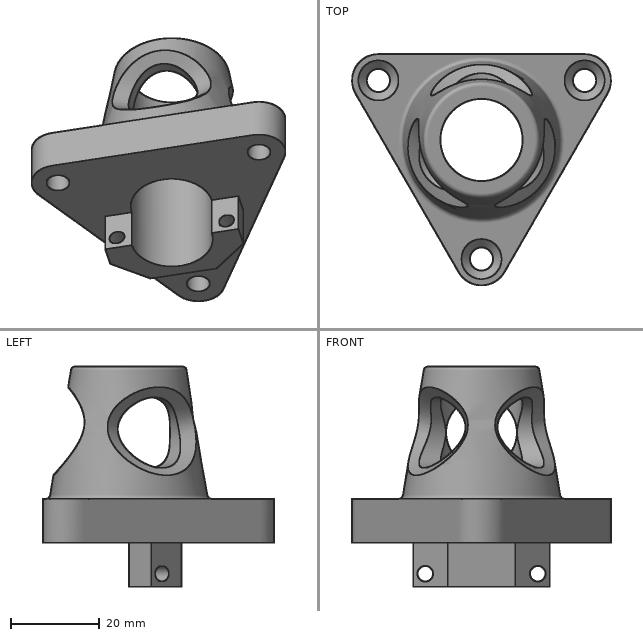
import cadquery as cq
import math

plate_thickness = 10.0
corner_radius = 6.0
screw_circle_radius = 27.0
screw_hole_diameter = 5.2
countersink_diameter = 9.1
countersink_angle = 90.0
screw_angles = (30.0, 150.0, 270.0)

tower_height = 30.0
tower_base_radius = 18.0
tower_top_radius = 13.0
tower_edge_radius = 1.0
bore_diameter = 18.6

window_diameter = 16.0
window_chamfer = 2.0
window_angles = (90.0, 210.0, 330.0)
rim_points = 48

tenon_height = 10.0
tenon_width = 31.0
tenon_depth = 12.0
tenon_front_width = 15.4
tenon_side_depth = 5.1
pin_hole_diameter = 3.5
pin_hole_spacing = 25.5
pin_hole_height = 3.0

plate_bottom = tenon_height
plate_top = plate_bottom + plate_thickness
tower_top = plate_top + tower_height
window_height = plate_top + tower_height / 2
window_radius = window_diameter / 2
tower_slope = (tower_base_radius - tower_top_radius) / tower_height
tower_taper = math.atan(tower_slope)


def tower_radius(z):
    """Radius of the plain cone at height z."""
    return tower_base_radius - tower_slope * (z - plate_top)


def polar_point(radius, angle):
    """Point on the XY plane at a given angle in degrees."""
    return (radius * math.cos(math.radians(angle)), radius * math.sin(math.radians(angle)))


def make_plate():
    """Triangle with rounded corners and a countersunk hole at each corner."""
    centres = [polar_point(screw_circle_radius, angle) for angle in screw_angles]
    sharp_radius = screw_circle_radius + 2 * corner_radius
    corners = [polar_point(sharp_radius, angle) for angle in screw_angles]
    plate = cq.Workplane("XY").workplane(offset=plate_bottom).polyline(corners).close()
    plate = plate.extrude(plate_thickness).edges("|Z").fillet(corner_radius)
    holes = plate.faces(">Z").workplane(origin=(0, 0, plate_top)).pushPoints(centres)
    return holes.cskHole(screw_hole_diameter, countersink_diameter, countersink_angle)


def make_tower():
    """Solid cone standing on the flange, with a rounded top edge."""
    outline = [
        (0, plate_top),
        (tower_base_radius, plate_top),
        (tower_top_radius, tower_top),
        (0, tower_top),
    ]
    cone = cq.Workplane("XZ").polyline(outline).close().revolve(360, (0, 0), (0, 1))
    return cone.faces(">Z").edges().fillet(tower_edge_radius)


def rim_line(turn):
    """Ends of the chamfer at one position around a window that faces +Y.

    The chamfer is set back from the two faces moved by its size into the wall:
    the point they share is projected onto the window wall and onto the cone.
    """
    across = math.cos(turn)
    along = math.sin(turn)
    shared_x = (window_radius + window_chamfer) * across
    shared_z = window_height + (window_radius + window_chamfer) * along
    shared_radius = tower_radius(shared_z) - window_chamfer / math.cos(tower_taper)
    shared_y = math.sqrt(shared_radius**2 - shared_x**2)
    cone_scale = 1 + window_chamfer * math.cos(tower_taper) / shared_radius
    on_wall = cq.Vector(window_radius * across, shared_y, window_height + window_radius * along)
    on_cone = cq.Vector(
        shared_x * cone_scale,
        shared_y * cone_scale,
        shared_z + window_chamfer * math.sin(tower_taper),
    )
    return on_wall, on_cone


def make_window_chamfer():
    """Flared cutter whose side is the chamfer, run on to a flat face at each end."""
    turns = [2 * math.pi * i / rim_points for i in range(rim_points)]
    lines = [rim_line(turn) for turn in turns]
    inner_y = min(on_wall.y for on_wall, on_cone in lines)
    outer_y = max(on_cone.y for on_wall, on_cone in lines)
    knots = turns + [2 * math.pi]

    def section(y):
        """Closed curve where the chamfer lines, run on, meet the plane at this Y."""
        points = []
        for on_wall, on_cone in lines:
            reach = (y - on_wall.y) / (on_cone.y - on_wall.y)
            points.append(on_wall + (on_cone - on_wall) * reach)
        return cq.Edge.makeSpline(points, periodic=True, parameters=knots)

    inner = section(inner_y)
    outer = section(outer_y)
    side = cq.Face.makeRuledSurface(inner, outer)
    ends = [cq.Face.makeFromWires(cq.Wire.assembleEdges([edge])) for edge in (inner, outer)]
    return cq.Workplane(cq.Solid.makeSolid(cq.Shell.makeShell([side] + ends)))


def cut_windows(tower):
    """Cut a round window and its chamfer at each window angle."""
    opening = cq.Workplane("XZ", origin=(0, 0, window_height)).circle(window_radius)
    opening = opening.extrude(-2 * tower_base_radius)
    chamfer = make_window_chamfer()
    for angle in window_angles:
        for cutter in (opening, chamfer):
            tower = tower.cut(cutter.rotate((0, 0, 0), (0, 0, 1), angle - 90))
    return tower


def make_tenon():
    """Block with slanted front corners and two pin holes along Y."""
    side_x = tenon_width / 2
    front_x = tenon_front_width / 2
    outline = [
        (-side_x, 0),
        (-side_x, -tenon_side_depth),
        (-front_x, -tenon_depth),
        (front_x, -tenon_depth),
        (side_x, -tenon_side_depth),
        (side_x, 0),
    ]
    tenon = cq.Workplane("XY").polyline(outline).close().extrude(tenon_height)
    pins = cq.Workplane("XZ", origin=(0, 0, pin_hole_height))
    pins = pins.pushPoints([(-pin_hole_spacing / 2, 0), (pin_hole_spacing / 2, 0)])
    return tenon.cut(pins.circle(pin_hole_diameter / 2).extrude(tenon_depth))


def make_body():
    """Flange and windowed tower joined with a fillet around the foot of the tower."""
    body = make_plate().union(cut_windows(make_tower()))
    foot = cq.selectors.NearestToPointSelector((0, 0, plate_top))
    return body.edges(foot).fillet(tower_edge_radius)


bore = cq.Workplane("XY").circle(bore_diameter / 2).extrude(tower_top)
result = make_body().union(make_tenon()).cut(bore)